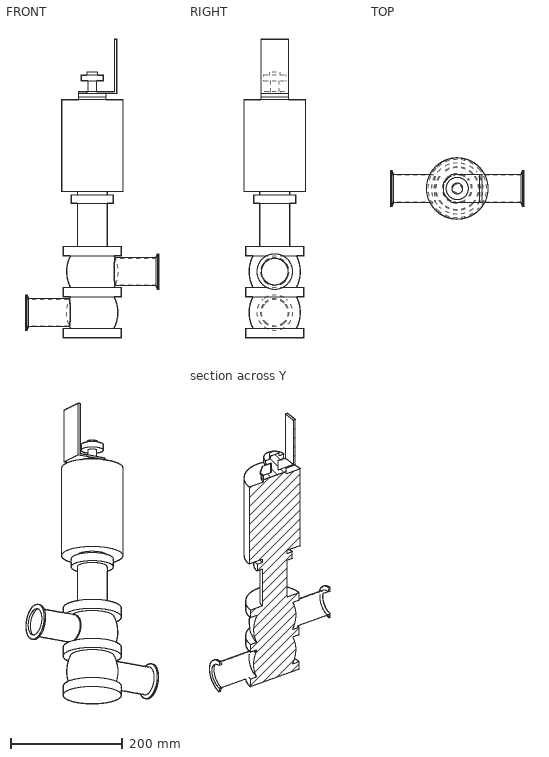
import cadquery as cq
import math


flange_dia = 105.0
chamber_mid_dia = 92.6
chamber_end_dia = 78.6
yoke_dia = 54.0
collar_dia = 76.0
actuator_dia = 110.8
seat_dia = 50.0

flange_height = 17.0
chamber_height = 56.7
yoke_height = 77.5
collar_height = 15.2
neck_height = 6.0
actuator_height = 165.2
seat_height = 5.0

port_reach = 120.0
pipe_outer_dia = 50.8
pipe_inner_dia = 47.8
ferrule_dia = 64.0
ferrule_rim = 2.9
ferrule_taper = 2.6

overall_height = 537.1
disc_height = 6.1
bracket_width = seat_dia
plate_thickness = 3.3
upright_thickness = 4.8
upright_outer_x = 44.5
rod_dia = 16.0
rod_height = 19.3
knob_dia = 40.0
knob_height = 10.3
cap_dia = 19.5
cap_height = 6.0

lower_chamber_z = flange_height
middle_flange_z = lower_chamber_z + chamber_height
upper_chamber_z = middle_flange_z + flange_height
top_flange_z = upper_chamber_z + chamber_height
yoke_z = top_flange_z + flange_height
collar_z = yoke_z + yoke_height
neck_z = collar_z + collar_height
actuator_z = neck_z + neck_height
seat_z = actuator_z + actuator_height
disc_z = seat_z + seat_height
plate_z = disc_z + disc_height
rod_z = plate_z + plate_thickness
knob_z = rod_z + rod_height
cap_z = knob_z + knob_height


def cylinder(diameter, base_z, height):
    """Upright cylinder on the valve axis."""
    return cq.Workplane("XY").workplane(offset=base_z).circle(diameter / 2).extrude(height)


def chamber(base_z):
    """Solid bulged chamber with an arc-shaped side."""
    end_radius = chamber_end_dia / 2
    top_z = base_z + chamber_height
    return (
        cq.Workplane("XZ")
        .moveTo(0, base_z)
        .lineTo(end_radius, base_z)
        .threePointArc((chamber_mid_dia / 2, base_z + chamber_height / 2), (end_radius, top_z))
        .lineTo(0, top_z)
        .close()
        .revolve(360, (0, 0, 0), (0, 1, 0))
    )


def port(chamber_z, side):
    """Tube from the chamber wall to a tapered ferrule; side is +1 for +X and -1 for -X."""
    axis_z = chamber_z + chamber_height / 2
    rim_x = port_reach - ferrule_rim
    taper_x = rim_x - ferrule_taper
    bore_radius = pipe_inner_dia / 2
    outline = [
        (0, bore_radius),
        (port_reach, bore_radius),
        (port_reach, ferrule_dia / 2),
        (rim_x, ferrule_dia / 2),
        (taper_x, pipe_outer_dia / 2),
        (0, pipe_outer_dia / 2),
    ]
    points = [(side * x, axis_z + radius) for x, radius in outline]
    return cq.Workplane("XZ").polyline(points).close().revolve(360, (0, axis_z, 0), (1, axis_z, 0))


def make_valve():
    """Chambers, flanges, ports, yoke and actuator as one solid."""
    valve = cylinder(flange_dia, 0, flange_height)
    sections = [
        chamber(lower_chamber_z),
        cylinder(flange_dia, middle_flange_z, flange_height),
        chamber(upper_chamber_z),
        cylinder(flange_dia, top_flange_z, flange_height),
        cylinder(yoke_dia, yoke_z, yoke_height),
        cylinder(collar_dia, collar_z, collar_height),
        cylinder(yoke_dia, neck_z, neck_height),
        cylinder(actuator_dia, actuator_z, actuator_height),
        cylinder(seat_dia, seat_z, seat_height),
        port(lower_chamber_z, -1),
        port(upper_chamber_z, 1),
    ]
    for section in sections:
        valve = valve.union(section)
    return valve


def make_bracket():
    """L-shaped bracket whose free end is the half outline of a regular octagon."""
    half_width = bracket_width / 2
    corner_chamfer = half_width * (1 - math.tan(math.pi / 8))
    length = half_width + upright_outer_x
    middle_x = (upright_outer_x - half_width) / 2
    plate = (
        cq.Workplane("XY", origin=(middle_x, 0, plate_z))
        .rect(length, bracket_width)
        .extrude(plate_thickness)
        .edges("|Z and <X")
        .chamfer(corner_chamfer)
    )
    upright_x = upright_outer_x - upright_thickness / 2
    upright = (
        cq.Workplane("XY", origin=(upright_x, 0, plate_z))
        .rect(upright_thickness, bracket_width)
        .extrude(overall_height - plate_z)
    )
    return plate.union(upright)


def make_indicator_head():
    """Mounting disc, bracket, rod and knob as one solid resting on the actuator seat."""
    head = cylinder(seat_dia, disc_z, disc_height).union(make_bracket())
    head = head.union(cylinder(rod_dia, rod_z, rod_height))
    head = head.union(cylinder(knob_dia, knob_z, knob_height))
    return head.union(cylinder(cap_dia, cap_z, cap_height))


valve = make_valve()
indicator_head = make_indicator_head()

result = cq.Compound.makeCompound([valve.val(), indicator_head.val()])